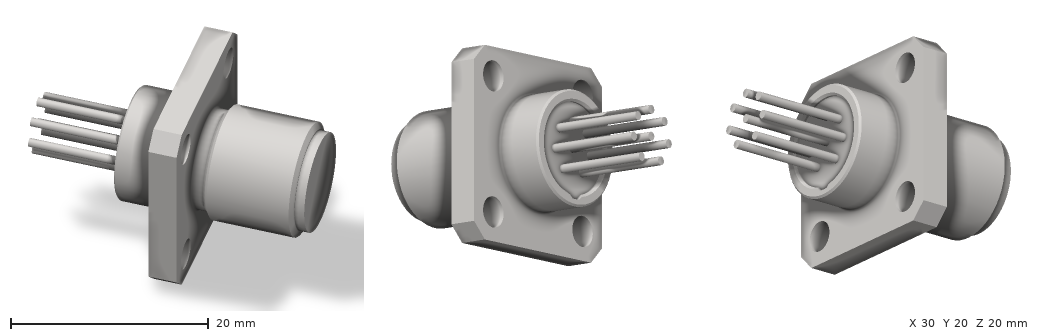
import cadquery as cq
import math

total_length = 30.0
pin_length = 10.0
flange_start = 15.0
flange_thickness = 3.0
flange_end = flange_start + flange_thickness

flange_side = 20.0
corner_chamfer = 1.68
mount_hole_diameter = 3.2
mount_hole_spacing = 13.98

body_radius = 6.0
body_chamfer = 0.2
root_fillet = 0.2

neck_radius = 5.25
neck_fillet = 0.25
neck_flare = 0.25
neck_end = 19.23
barrel_start = 19.9
barrel_end = 28.6
barrel_chamfer_length = 0.4
neck_flare_radius = 5.45
barrel_chamfer_radius = 5.35
tip_diameter = 10.4
tip_radius = tip_diameter / 2

recess_radius = 4.77
recess_mouth_radius = 5.0
recess_taper_depth = 0.25
recess_depth = 0.48
keyway_radius = 5.28
keyway_top_half_width = 1.2
keyway_bottom_half_width = 0.5
keyway_top = 4.65

pin_diameter = 0.9
pin_ring_radius = 2.75
ring_pin_count = 7
pin_angle_step = 49.0
recess_floor = pin_length + recess_depth


def make_turned_body():
    """Revolve the stepped half profile of the connector about X."""
    arc_inset = 1 - math.sqrt(0.5)
    root_arc_middle = (flange_start - root_fillet * arc_inset, body_radius + root_fillet * arc_inset)
    neck_arc_middle = (flange_end + neck_fillet * arc_inset, neck_radius + neck_fillet * arc_inset)
    return (
        cq.Workplane("XY")
        .moveTo(pin_length, 0)
        .lineTo(pin_length, body_radius - body_chamfer)
        .lineTo(pin_length + body_chamfer, body_radius)
        .lineTo(flange_start - root_fillet, body_radius)
        .threePointArc(root_arc_middle, (flange_start, body_radius + root_fillet))
        .lineTo(flange_end, body_radius + root_fillet)
        .lineTo(flange_end, neck_radius + neck_fillet)
        .threePointArc(neck_arc_middle, (flange_end + neck_fillet, neck_radius))
        .lineTo(neck_end, neck_radius)
        .lineTo(neck_end + neck_flare, neck_flare_radius)
        .lineTo(barrel_start, body_radius)
        .lineTo(barrel_end, body_radius)
        .lineTo(barrel_end + barrel_chamfer_length, barrel_chamfer_radius)
        .lineTo(barrel_end + barrel_chamfer_length, tip_radius)
        .lineTo(total_length, tip_radius)
        .lineTo(total_length, 0)
        .close()
        .revolve(360, (0, 0, 0), (1, 0, 0))
    )


def make_flange():
    """Square plate with cut corners and four through holes."""
    plate = (
        cq.Workplane("YZ", origin=(flange_start, 0, 0))
        .rect(flange_side, flange_side)
        .extrude(flange_thickness)
        .edges("|X")
        .chamfer(corner_chamfer)
    )
    return (
        plate.faces("<X")
        .workplane(centerOption="CenterOfBoundBox")
        .rect(mount_hole_spacing, mount_hole_spacing, forConstruction=True)
        .vertices()
        .hole(mount_hole_diameter)
    )


def make_recess():
    """Shallow tapered recess joined with its keyway."""
    taper_profile = [
        (pin_length, 0),
        (pin_length, recess_mouth_radius),
        (pin_length + recess_taper_depth, recess_radius),
        (recess_floor, recess_radius),
        (recess_floor, 0),
    ]
    disc = cq.Workplane("XY").polyline(taper_profile).close().revolve(360, (0, 0, 0), (1, 0, 0))
    keyway_bottom = math.sqrt(keyway_radius**2 - keyway_bottom_half_width**2)
    keyway = (
        cq.Workplane("YZ", origin=(pin_length, 0, 0))
        .moveTo(0, 0)
        .lineTo(-keyway_top_half_width, -keyway_top)
        .lineTo(-keyway_bottom_half_width, -keyway_bottom)
        .threePointArc((0, -keyway_radius), (keyway_bottom_half_width, -keyway_bottom))
        .lineTo(keyway_top_half_width, -keyway_top)
        .close()
        .extrude(recess_depth)
    )
    return disc.union(keyway)


def make_pins():
    """Straight pins rising from the recess floor; the ring is symmetric about its top pin."""
    positions = [(0, 0)]
    for index in range(ring_pin_count):
        angle = math.radians((index - ring_pin_count // 2) * pin_angle_step)
        positions.append((pin_ring_radius * math.sin(angle), pin_ring_radius * math.cos(angle)))
    return cq.Workplane("YZ").pushPoints(positions).circle(pin_diameter / 2).extrude(recess_floor)


result = make_turned_body().union(make_flange()).cut(make_recess()).union(make_pins())